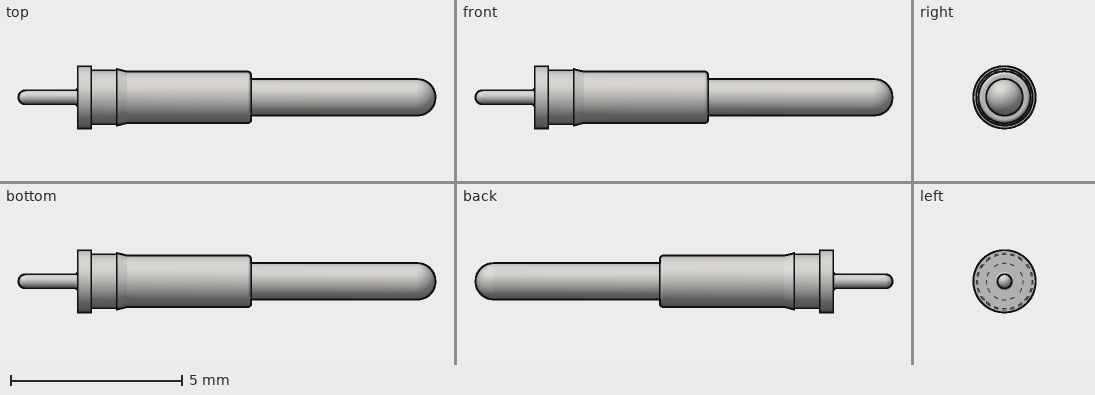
import cadquery as cq
import math

total_length = 12.17
tail_end = -total_length / 2
plunger_end = total_length / 2
flange_start = tail_end + 1.73
flange_end = flange_start + 0.4
barb_start = flange_end + 0.74
barb_end = barb_start + 0.29
barrel_end = tail_end + 6.79

tail_radius = 0.21
flange_radius = 0.91
collar_radius = 0.79
barb_radius = 0.83
barrel_radius = 0.75
plunger_radius = 0.54

tail_fillet = 0.07
barrel_round = 0.11

diagonal = math.sqrt(0.5)


def arc_middle(center_x, center_r, radius, x_sign, r_sign):
    """Middle point of a quarter arc in the given quadrant around its center."""
    return (
        center_x + x_sign * radius * diagonal,
        center_r + r_sign * radius * diagonal,
    )


tail_dome_x = tail_end + tail_radius
tail_fillet_x = flange_start - tail_fillet
barrel_round_x = barrel_end - barrel_round
plunger_dome_x = plunger_end - plunger_radius

profile = (
    cq.Workplane("XY")
    .moveTo(tail_end, 0)
    .threePointArc(arc_middle(tail_dome_x, 0, tail_radius, -1, 1), (tail_dome_x, tail_radius))
    .lineTo(tail_fillet_x, tail_radius)
    .threePointArc(
        arc_middle(tail_fillet_x, tail_radius + tail_fillet, tail_fillet, 1, -1),
        (flange_start, tail_radius + tail_fillet),
    )
    .lineTo(flange_start, flange_radius)
    .lineTo(flange_end, flange_radius)
    .lineTo(flange_end, collar_radius)
    .lineTo(barb_start, collar_radius)
    .lineTo(barb_start, barb_radius)
    .lineTo(barb_end, barrel_radius)
    .lineTo(barrel_round_x, barrel_radius)
    .threePointArc(
        arc_middle(barrel_round_x, barrel_radius - barrel_round, barrel_round, 1, 1),
        (barrel_end, barrel_radius - barrel_round),
    )
    .lineTo(barrel_end, plunger_radius)
    .lineTo(plunger_dome_x, plunger_radius)
    .threePointArc(arc_middle(plunger_dome_x, 0, plunger_radius, 1, 1), (plunger_end, 0))
    .close()
)

result = profile.revolve(360, (0, 0, 0), (1, 0, 0))